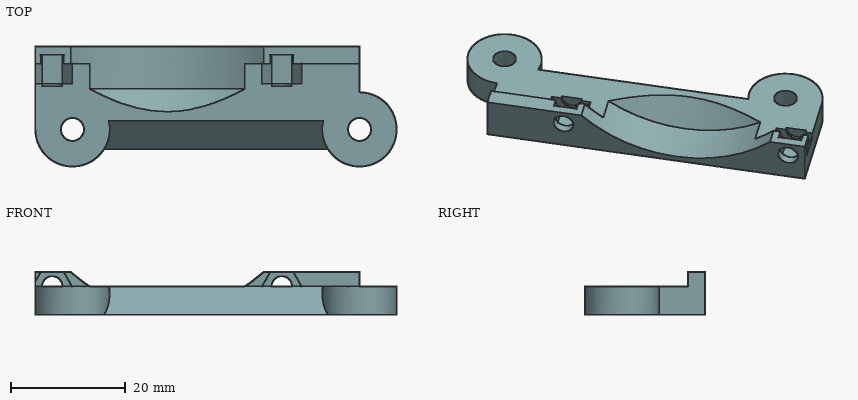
import cadquery as cq
import math

length = 63.05
depth = 21.0
plate_thickness = 5.0
rail_height = 2.5
rail_width = 3.0

boss_radius = 6.5
mount_hole_diameter = 4.0
boss_centers = [(boss_radius, boss_radius), (length - boss_radius, boss_radius)]
plate_length = length - boss_radius

slope_toe_y = 3.0

first_screw_x = 2.95
screw_spacing = 40.05
screw_diameter = 3.5
screw_depth = 7.0
nut_across_flats = 6.0
nut_back_wall = 1.5
nut_pocket_length = 5.0

saddle_radius = 25.05
saddle_center_x = 23.0
saddle_floor_z = 1.0
saddle_length = 7.45


def make_plate():
    """Plate with a sloped front edge, extruded along X."""
    profile = [
        (slope_toe_y, 0),
        (depth, 0),
        (depth, plate_thickness),
        (slope_toe_y + plate_thickness, plate_thickness),
    ]
    sloped_bar = (
        cq.Workplane("YZ", origin=(boss_radius, 0, 0))
        .polyline(profile)
        .close()
        .extrude(plate_length - boss_radius)
    )
    left_end = cq.Workplane("XY").box(
        boss_radius, depth - boss_radius, plate_thickness, centered=False
    ).translate((0, boss_radius, 0))
    return sloped_bar.union(left_end)


def make_bosses():
    return cq.Workplane("XY").pushPoints(boss_centers).circle(boss_radius).extrude(plate_thickness)


def make_rail():
    """Raised strip along the back edge."""
    rail = cq.Workplane("XY").box(plate_length, rail_width, rail_height, centered=False)
    return rail.translate((0, depth - rail_width, plate_thickness))


def make_saddle():
    """Cylinder from the back edge, tapering at 45 degrees until it leaves the plate top."""
    taper = plate_thickness - saddle_floor_z
    front_radius = saddle_radius - taper
    profile = [
        (0, 0),
        (saddle_radius, 0),
        (saddle_radius, -saddle_length),
        (front_radius, -saddle_length - taper),
        (0, -saddle_length - taper),
    ]
    cutter = cq.Workplane("XY").polyline(profile).close().revolve(360, (0, 0), (0, 1))
    return cutter.translate((saddle_center_x, depth, saddle_floor_z + saddle_radius))


def make_screw_seat(x):
    """Blind screw hole from the back edge with a hexagonal nut pocket."""
    nut_across_corners = nut_across_flats / math.cos(math.pi / 6)
    back_plane = cq.Workplane("XZ", origin=(x, depth, plate_thickness))
    hole = back_plane.circle(screw_diameter / 2).extrude(screw_depth)
    nut = (
        back_plane.workplane(offset=nut_back_wall)
        .polygon(6, nut_across_corners)
        .extrude(nut_pocket_length)
    )
    return hole.union(nut)


result = make_plate().union(make_bosses()).union(make_rail()).cut(make_saddle())
for screw_x in (first_screw_x, first_screw_x + screw_spacing):
    result = result.cut(make_screw_seat(screw_x))

mount_holes = (
    cq.Workplane("XY")
    .pushPoints(boss_centers)
    .circle(mount_hole_diameter / 2)
    .extrude(plate_thickness)
)
result = result.cut(mount_holes)